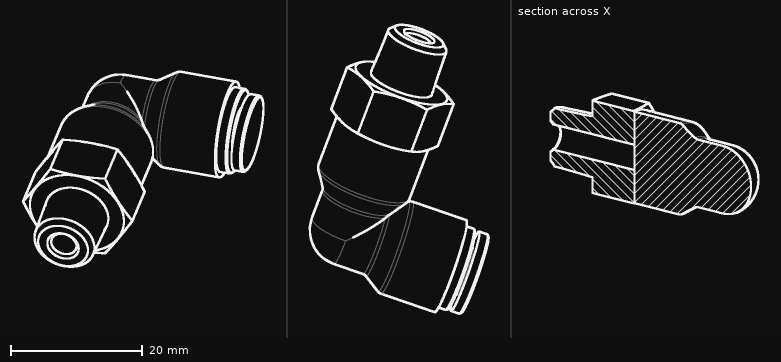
import cadquery as cq
import math


elbow_diameter = 11.0
socket_diameter = 14.9
cone_start = 5.0
cone_end = 8.0
cone_blend_radius = 1.0
arm_length = 17.0

overall_length = 40.45
hex_across_flats = 15.0
hex_length = 8.0
hex_chamfer_diameter = 14.9
hex_chamfer_length = 0.45
stud_end = overall_length - socket_diameter / 2
hex_end = arm_length + hex_length
thread_root_diameter = 9.95
thread_taper = 1 / 16
thread_chamfer = 0.8
bore_diameter = 4.0
bore_mouth_diameter = 4.98

ring_diameter = 13.15
ring_end = 18.7
ring_chamfer_length = 0.25
ring_chamfer_depth = 0.12

neck_diameter = 7.5
overall_width = 29.6
hex_across_corners = hex_across_flats / math.cos(math.pi / 6)
sleeve_end = overall_width - hex_across_corners / 2
head_thickness = 1.58
head_start = sleeve_end - head_thickness
head_width = 13.02
head_height = 11.0
head_chamfer = 0.25
neck_fillet = 0.1

stud_turn = -90


def disc(diameter, start, end):
    """Cylinder on the X axis between two distances from the elbow centre."""
    return cq.Workplane("YZ", origin=(start, 0, 0)).circle(diameter / 2).extrude(end - start)


def turned(outline):
    """Solid of revolution about the X axis from a list of (distance, radius) points."""
    return cq.Workplane("XY").polyline(outline).close().revolve(360, (0, 0, 0), (1, 0, 0))


def cone(start, start_diameter, end, end_diameter):
    """Cone on the X axis between two distances from the elbow centre."""
    return turned([(start, 0), (start, start_diameter / 2), (end, end_diameter / 2), (end, 0)])


def turn_to_stud_axis(body):
    """Swing a body built along +X onto the -Y axis."""
    return body.rotate((0, 0, 0), (0, 0, 1), stud_turn)


def make_arm():
    """Arm along +X: narrow elbow tube, blended cone and wide socket."""
    arm = disc(elbow_diameter, 0, cone_start)
    arm = arm.union(cone(cone_start, elbow_diameter, cone_end, socket_diameter))
    arm = arm.union(disc(socket_diameter, cone_end, arm_length))
    cone_rims = arm.faces("%CONE").edges("%CIRCLE")
    return cone_rims.fillet(cone_blend_radius)


def make_housing():
    """Two arms joined by a ball-shaped outer corner."""
    corner = cq.Workplane("XY").sphere(elbow_diameter / 2)
    tube_arm = make_arm()
    stud_arm = turn_to_stud_axis(tube_arm)
    return tube_arm.union(stud_arm).union(corner)


def make_hexagon():
    """Hexagon with both ends bevelled by a turned double cone."""
    hexagon = (
        cq.Workplane("YZ", origin=(arm_length, 0, 0))
        .polygon(6, hex_across_corners)
        .extrude(hex_length)
    )
    bevel_start = arm_length + hex_chamfer_length
    bevel_end = hex_end - hex_chamfer_length
    outline = [
        (arm_length, 0),
        (arm_length, hex_chamfer_diameter / 2),
        (bevel_start, hex_across_corners / 2),
        (bevel_end, hex_across_corners / 2),
        (hex_end, hex_chamfer_diameter / 2),
        (hex_end, 0),
    ]
    return hexagon.intersect(turned(outline))


def make_stud():
    """Hexagon with a tapered, chamfered thread blank and a bore through both."""
    chamfer_start = stud_end - thread_chamfer
    thread_tip_diameter = thread_root_diameter - thread_taper * (chamfer_start - hex_end)
    thread = cone(hex_end, thread_root_diameter, chamfer_start, thread_tip_diameter)
    tip_face_diameter = thread_tip_diameter - 2 * thread_chamfer
    tip = cone(chamfer_start, thread_tip_diameter, stud_end, tip_face_diameter)
    bore = disc(bore_diameter, arm_length, stud_end)
    mouth_depth = (bore_mouth_diameter - bore_diameter) / 2
    mouth = cone(stud_end - mouth_depth, bore_diameter, stud_end, bore_mouth_diameter)
    stud = make_hexagon().union(thread).union(tip).cut(bore).cut(mouth)
    return turn_to_stud_axis(stud)


def make_guide_ring():
    """Collar on the socket face with a small bevel at its outer rim."""
    bevel_start = ring_end - ring_chamfer_length
    collar = disc(ring_diameter, arm_length, bevel_start)
    bevel = cone(bevel_start, ring_diameter, ring_end, ring_diameter - 2 * ring_chamfer_depth)
    return collar.union(bevel)


def make_release_sleeve():
    """Round neck blended into an oval push head."""
    neck = disc(neck_diameter, ring_end, head_start)
    head = (
        cq.Workplane("YZ", origin=(head_start, 0, 0))
        .ellipse(head_width / 2, head_height / 2)
        .extrude(head_thickness)
        .faces(">X")
        .chamfer(head_chamfer)
    )
    sleeve = neck.union(head)
    neck_root = sleeve.edges(cq.selectors.RadiusNthSelector(0)).edges(">X")
    return neck_root.fillet(neck_fillet)


housing = make_housing()
stud = make_stud()
guide_ring = make_guide_ring()
release_sleeve = make_release_sleeve()

result = cq.Compound.makeCompound([
    housing.val(),
    stud.val(),
    guide_ring.val(),
    release_sleeve.val(),
])